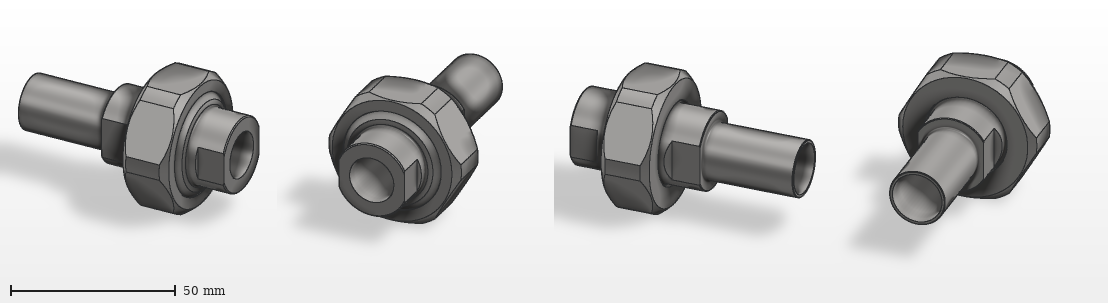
import cadquery as cq
import math


total_length = 72.5
bore_radius = 14.9 / 2

nut_start = 42.5
nut_length = 15.9
nut_end = nut_start + nut_length
nut_across_flats = 41.0
nut_corner_radius = 44.65 / 2
nut_face_radius = 40.4 / 2
nut_bore_radius = 27.0 / 2
nut_lip = 2.9
thread_radius = 33.1 / 2

tube_radius = 18.0 / 2
tube_bore_radius = 16.0 / 2
tube_edge_chamfer = 0.2
collar_start = 29.8
collar_radius = 25.0 / 2
collar_chamfer = 0.255
collar_flat_width = 21.2
collar_flat_end = 39.0
root_fillet = 0.8
barrel_radius = 26.5 / 2
barrel_start = nut_start + 1.45
barrel_fillet = barrel_radius - collar_radius
flange_start = nut_start + nut_lip
flange_radius = 30.3 / 2
flange_width = 2.9
joint = flange_start + flange_width

neck_start = 60.7
neck_radius = 24.5 / 2
neck_chamfer = 0.35
neck_root_fillet = 0.5
shoulder_end = 59.8
shoulder_radius = 14.5
shoulder_root_radius = 13.0
neck_flat_width = 22.0
neck_flat_start = 63.2
neck_flat_run_in = 0.3

bevel_start = shoulder_end - (thread_radius - shoulder_radius)
cut_height = 2 * nut_corner_radius
diagonal = math.sqrt(0.5)


def revolve_about_x(profile):
    """Close an (axial position, radius) profile and spin it about the X axis."""
    return profile.close().revolve(360, (0, 0, 0), (1, 0, 0))


def side_cutters(outline):
    """Extrude an (X, Y) outline on the +Y side along Z, and add its mirror image on the -Y side."""
    upper = cq.Workplane("XY").polyline(outline).close().extrude(cut_height / 2, both=True)
    return upper.union(upper.mirror("XZ"))


def add_root_fillet(profile, end_x, small_radius, size):
    """Draw the quarter round from the small cylinder out to a face at end_x."""
    middle = (end_x - size * (1 - diagonal), small_radius + size * (1 - diagonal))
    return profile.threePointArc(middle, (end_x, small_radius + size))


def make_tailpiece():
    bore_step = tube_bore_radius - bore_radius
    profile = (
        cq.Workplane("XY")
        .moveTo(0, tube_bore_radius)
        .lineTo(0, tube_radius - tube_edge_chamfer)
        .lineTo(tube_edge_chamfer, tube_radius)
        .lineTo(collar_start - root_fillet, tube_radius)
    )
    profile = add_root_fillet(profile, collar_start, tube_radius, root_fillet)
    profile = (
        profile.lineTo(collar_start, collar_radius - collar_chamfer)
        .lineTo(collar_start + collar_chamfer, collar_radius)
        .lineTo(barrel_start - barrel_fillet, collar_radius)
    )
    profile = add_root_fillet(profile, barrel_start, collar_radius, barrel_fillet)
    profile = (
        profile.lineTo(flange_start, barrel_radius)
        .lineTo(flange_start, flange_radius)
        .lineTo(joint, flange_radius)
        .lineTo(joint, bore_radius)
        .lineTo(collar_start + bore_step, bore_radius)
        .lineTo(collar_start, tube_bore_radius)
    )
    flat = collar_flat_width / 2
    ramp = collar_radius - flat
    flats = side_cutters([
        (collar_start, flat),
        (collar_flat_end, flat),
        (collar_flat_end + ramp, collar_radius),
        (collar_start, collar_radius),
    ])
    return revolve_about_x(profile).cut(flats)


def make_nut():
    hexagon = (
        cq.Workplane("YZ")
        .workplane(offset=nut_start)
        .polygon(6, nut_across_flats / math.cos(math.pi / 6))
        .extrude(nut_length)
    )
    bevel = nut_corner_radius - nut_face_radius
    envelope = revolve_about_x(
        cq.Workplane("XY")
        .moveTo(nut_start, 0)
        .lineTo(nut_start, nut_face_radius)
        .lineTo(nut_start + bevel, nut_corner_radius)
        .lineTo(nut_end - bevel, nut_corner_radius)
        .lineTo(nut_end, nut_face_radius)
        .lineTo(nut_end, 0)
    )
    bore = cq.Workplane("YZ").workplane(offset=nut_start).circle(nut_bore_radius).extrude(nut_lip)
    thread = cq.Workplane("YZ").workplane(offset=flange_start).circle(thread_radius).extrude(nut_length)
    return hexagon.intersect(envelope).cut(bore).cut(thread)


def make_end_piece():
    profile = (
        cq.Workplane("XY")
        .moveTo(joint, bore_radius)
        .lineTo(joint, thread_radius)
        .lineTo(bevel_start, thread_radius)
        .lineTo(shoulder_end, shoulder_radius)
        .lineTo(neck_start - neck_root_fillet, shoulder_root_radius)
        .threePointArc(
            (
                neck_start - neck_root_fillet * diagonal,
                shoulder_root_radius - (shoulder_root_radius - neck_radius) * diagonal,
            ),
            (neck_start, neck_radius),
        )
        .lineTo(total_length - neck_chamfer, neck_radius)
        .lineTo(total_length, neck_radius - neck_chamfer)
        .lineTo(total_length, bore_radius)
    )
    flat = neck_flat_width / 2
    flats = side_cutters([
        (neck_flat_start, neck_radius),
        (neck_flat_start + neck_flat_run_in, flat),
        (total_length, flat),
        (total_length, neck_radius),
    ])
    return revolve_about_x(profile).cut(flats)


tailpiece = make_tailpiece()
nut = make_nut()
end_piece = make_end_piece()

result = cq.Compound.makeCompound([tailpiece.solids().val(), nut.solids().val(), end_piece.solids().val()])